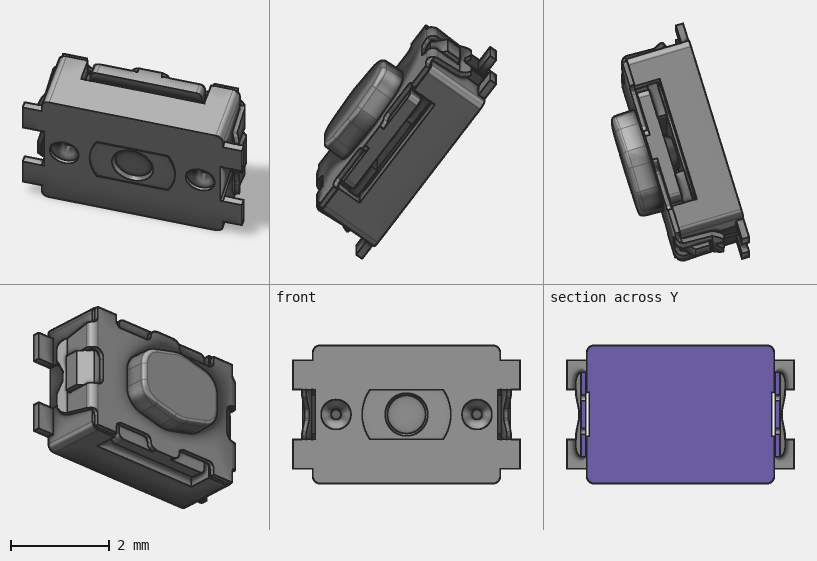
import cadquery as cq
import math


BODY_X = 3.8
BODY_Z = 2.8
BODY_TOP = 1.325
BODY_CORNER_R = 0.15

TERMINAL_SPAN = 4.6
TERMINAL_T = 0.15
TERMINAL_INNER_Z = 0.5
TERMINAL_OUTER_Z = 1.1

NOTCH_FLOOR_X = 1.85
NOTCH_TOP_HALF_Z = 0.39
CATCH_TIP_X = 2.1
CATCH_HALF_Z = 0.39
CATCH_BOTTOM = 0.76

SLOT_X = 2.585
SLOT_FLOOR = 0.8
LEDGE_HALF_Z = 1.105
CORE_HALF_Z = 1.01
CHANNEL_X = 1.205
DOME_TOP = 0.86
DOME_CORNER_R = 0.395

FLANGE_X = 2.335
FLANGE_Z = 2.732
FLANGE_BOTTOM = 1.065
FLANGE_CORNER_R = 0.125
BOSS_X = 0.505
NUB_TOP_R = 0.45
NUB_NECK_R = 0.41
NUB_NECK_Y = 1.02
NUB_BOTTOM_R = 0.315

BUTTON_TOP = 1.92
BUTTON_HALF_X = 1.045
BUTTON_HALF_Z = 0.795
BUTTON_END_R = 0.48
BUTTON_SIDE_R = 0.765
BUTTON_SIDE_TILT = 13.4
BUTTON_DRAFT = 2.0
BUTTON_EDGE_R = 0.095

SHEET_T = 0.1
COVER_TOP = BODY_TOP + SHEET_T
COVER_X = 3.68
COVER_HALF_Z = 1.352
RECESS_OUTER_X = 1.335
RECESS_OUTER_R = 0.14
RECESS_BOSS_R = 0.135

CLIP_OUTER_X = 2.015
CLIP_FOLD_Y = 0.7
CLIP_BEND_R = 0.165
CLIP_TOP_HALF_Z = 0.985
CLIP_FOLD_HALF_Z = 0.85
CLIP_ROOT_R = 0.143
WINDOW_BACK_X = 1.695
WINDOW_HALF_Z = 0.415
WINDOW_BACK_R = 0.185
RELIEF_R = 0.075
RELIEF_DROP = 0.05

FLAP_ANGLE = 26.6
FLAP_LENGTH = 0.235
MITRE = SHEET_T * math.tan(math.radians(FLAP_ANGLE / 2))
FLAP_CORNER_R = 0.23
VALLEY_DISTANCE = 0.095
VALLEY_HALF_Z = 0.09
VALLEY_MOUTH_HALF_Z = 0.385
VALLEY_MOUTH_R = 0.23
VALLEY_ROOT_R = 0.14

SINK_X = 1.425
SINK_R = 0.305
SINK_RIM_DEPTH = 0.085
SINK_FLOOR_R = 0.1
SINK_DEPTH = 0.315
SINK_BULGE = 0.03
MARK_R = 0.895
MARK_HALF_Z = 0.5
MARK_DEPTH = 0.0205
DIMPLE_R = 0.432
DIMPLE_FLOOR_R = 0.385
DIMPLE_DEPTH = 0.12

PAST = 0.045


def plan(y):
    """Workplane at height y with local axes X and Z; negative extrusion goes towards +Y."""
    return cq.Workplane("XZ", origin=(0, y, 0))


def block(x0, x1, y0, y1, z0, z1):
    return cq.Workplane("XY").box(x1 - x0, y1 - y0, z1 - z0, centered=False).translate((x0, y0, z0))


def centred_block(size_x, y0, y1, size_z):
    return block(-size_x / 2, size_x / 2, y0, y1, -size_z / 2, size_z / 2)


def at_both_ends(shape):
    """The +X shape together with its copy at the -X end."""
    return shape.union(shape.mirror("YZ"))


def frustum(x, y0, r0, y1, r1):
    """Cone frustum along Y at Z = 0."""
    profile = [(0, y0), (r0, y0), (r1, y1), (0, y1)]
    cone = cq.Workplane("XY").polyline(profile).close().revolve(360, (0, 0), (0, 1))
    return cone.translate((x, 0, 0))



def end_notch():
    """Notch between the terminals, narrowing towards the top."""
    outline = [
        (0, -TERMINAL_INNER_Z),
        (BODY_TOP, -NOTCH_TOP_HALF_Z),
        (BODY_TOP, NOTCH_TOP_HALF_Z),
        (0, TERMINAL_INNER_Z),
    ]
    return cq.Workplane("YZ", origin=(NOTCH_FLOOR_X, 0, 0)).polyline(outline).close().extrude(BODY_X)


def catch():
    """Catch with a 45-degree lead-in on its upper side."""
    reach = CATCH_TIP_X - NOTCH_FLOOR_X
    outline = [
        (NOTCH_FLOOR_X - PAST, CATCH_BOTTOM),
        (CATCH_TIP_X, CATCH_BOTTOM),
        (CATCH_TIP_X, BODY_TOP - reach),
        (NOTCH_FLOOR_X, BODY_TOP),
        (NOTCH_FLOOR_X - PAST, BODY_TOP),
    ]
    return cq.Workplane("XY").polyline(outline).close().extrude(CATCH_HALF_Z, both=True)


def body():
    """Body with the end catches and the inside left between the two long-side openings."""
    shell = centred_block(BODY_X, 0, BODY_TOP, BODY_Z).edges("|Y").fillet(BODY_CORNER_R)
    shell = shell.cut(at_both_ends(end_notch())).union(at_both_ends(catch()))

    shell = shell.cut(centred_block(SLOT_X, SLOT_FLOOR, BODY_TOP, BODY_Z))
    dome = centred_block(SLOT_X, SLOT_FLOOR, DOME_TOP, 2 * CORE_HALF_Z).edges("|Y").fillet(DOME_CORNER_R)
    core = centred_block(SLOT_X, FLANGE_BOTTOM, BODY_TOP, 2 * CORE_HALF_Z)
    ledge = centred_block(SLOT_X, DOME_TOP, FLANGE_BOTTOM, 2 * LEDGE_HALF_Z)
    channel = centred_block(CHANNEL_X, DOME_TOP, FLANGE_BOTTOM, BODY_Z)
    return shell.union(dome).union(core).union(ledge.cut(channel))


def terminals():
    """Two strips running through the body and standing out at both ends."""
    width = TERMINAL_OUTER_Z - TERMINAL_INNER_Z
    strip = centred_block(TERMINAL_SPAN, 0, TERMINAL_T, width)
    offset = (TERMINAL_INNER_Z + TERMINAL_OUTER_Z) / 2
    return strip.translate((0, 0, offset)).union(strip.translate((0, 0, -offset)))



def button():
    """Hexagonal button with rounded ends and softly rounded long sides."""
    tilt = math.radians(BUTTON_SIDE_TILT)
    half = math.radians(45 - BUTTON_SIDE_TILT / 2)
    end_x = BUTTON_HALF_X - BUTTON_END_R * (1 - math.sin(tilt))
    side_x = BUTTON_SIDE_R * math.sin(tilt)
    side_z = BUTTON_HALF_Z - BUTTON_SIDE_R * (1 - math.cos(tilt))
    end_z = side_z - (end_x - side_x) * math.tan(tilt)
    flat_z = end_z - BUTTON_END_R * math.cos(tilt)
    mid_x = BUTTON_HALF_X - BUTTON_END_R * (1 - math.cos(half))
    mid_z = flat_z + BUTTON_END_R * math.sin(half)
    outline = (
        plan(COVER_TOP)
        .moveTo(BUTTON_HALF_X, -flat_z)
        .lineTo(BUTTON_HALF_X, flat_z)
        .threePointArc((mid_x, mid_z), (end_x, end_z))
        .lineTo(side_x, side_z)
        .threePointArc((0, BUTTON_HALF_Z), (-side_x, side_z))
        .lineTo(-end_x, end_z)
        .threePointArc((-mid_x, mid_z), (-BUTTON_HALF_X, flat_z))
        .lineTo(-BUTTON_HALF_X, -flat_z)
        .threePointArc((-mid_x, -mid_z), (-end_x, -end_z))
        .lineTo(-side_x, -side_z)
        .threePointArc((0, -BUTTON_HALF_Z), (side_x, -side_z))
        .lineTo(end_x, -end_z)
        .threePointArc((mid_x, -mid_z), (BUTTON_HALF_X, -flat_z))
        .close()
    )
    cap = outline.extrude(COVER_TOP - BUTTON_TOP, taper=BUTTON_DRAFT)
    return cap.faces(">Y").edges().fillet(BUTTON_EDGE_R)


def plunger():
    """Flange carrying the button above and the nub below."""
    flange = centred_block(FLANGE_X, FLANGE_BOTTOM, BODY_TOP, FLANGE_Z)
    flange = flange.edges("|Y").fillet(FLANGE_CORNER_R)
    boss = centred_block(BOSS_X, FLANGE_BOTTOM, COVER_TOP, FLANGE_Z)
    nub = frustum(0, DOME_TOP, NUB_BOTTOM_R, NUB_NECK_Y, NUB_NECK_R)
    nub = nub.union(frustum(0, NUB_NECK_Y, NUB_NECK_R, FLANGE_BOTTOM, NUB_TOP_R))
    return flange.union(boss).union(nub).union(button())



def edge_recess():
    """Recess in the +Z edge of the cover at +X, rising again in an S-curve beside the boss."""
    half_boss = BOSS_X / 2
    floor_z = COVER_HALF_Z - 2 * RECESS_BOSS_R
    turn_x = half_boss + RECESS_BOSS_R
    turn_z = COVER_HALF_Z - RECESS_BOSS_R
    return (
        plan(BODY_TOP)
        .moveTo(half_boss, COVER_HALF_Z)
        .radiusArc((turn_x, turn_z), RECESS_BOSS_R)
        .radiusArc((turn_x + RECESS_BOSS_R, floor_z), -RECESS_BOSS_R)
        .lineTo(RECESS_OUTER_X - RECESS_OUTER_R, floor_z)
        .radiusArc((RECESS_OUTER_X, floor_z + RECESS_OUTER_R), -RECESS_OUTER_R)
        .lineTo(RECESS_OUTER_X, COVER_HALF_Z)
        .close()
        .extrude(-SHEET_T)
    )


def clip_arm():
    """Arm bent from the cover end, ending in a mitre where the flap is folded."""
    root_x = COVER_X / 2
    inner_x = CLIP_OUTER_X - SHEET_T
    inner_r = CLIP_BEND_R - SHEET_T
    section = (
        cq.Workplane("XY")
        .moveTo(root_x, COVER_TOP)
        .lineTo(CLIP_OUTER_X - CLIP_BEND_R, COVER_TOP)
        .radiusArc((CLIP_OUTER_X, COVER_TOP - CLIP_BEND_R), CLIP_BEND_R)
        .lineTo(CLIP_OUTER_X, CLIP_FOLD_Y)
        .lineTo(inner_x, CLIP_FOLD_Y - MITRE)
        .lineTo(inner_x, BODY_TOP - inner_r)
        .radiusArc((inner_x - inner_r, BODY_TOP), -inner_r)
        .lineTo(root_x, BODY_TOP)
        .close()
    )
    strip = section.extrude(COVER_HALF_Z, both=True)

    root_half_z = CLIP_TOP_HALF_Z + CLIP_ROOT_R
    side_outline = [
        (CLIP_FOLD_Y - MITRE, CLIP_FOLD_HALF_Z),
        (CLIP_FOLD_Y, CLIP_FOLD_HALF_Z),
        (BODY_TOP, CLIP_TOP_HALF_Z),
        (BODY_TOP, root_half_z),
        (COVER_TOP, root_half_z),
    ]
    side_outline += [(y, -z) for y, z in reversed(side_outline)]
    tapered = cq.Workplane("YZ").polyline(side_outline).close().extrude(CLIP_OUTER_X + PAST)

    throat_x = root_x + CLIP_ROOT_R
    flared = (
        plan(0)
        .moveTo(root_x, -root_half_z)
        .lineTo(root_x, root_half_z)
        .radiusArc((throat_x, CLIP_TOP_HALF_Z), -CLIP_ROOT_R)
        .lineTo(CLIP_OUTER_X + PAST, CLIP_TOP_HALF_Z)
        .lineTo(CLIP_OUTER_X + PAST, -CLIP_TOP_HALF_Z)
        .lineTo(throat_x, -CLIP_TOP_HALF_Z)
        .radiusArc((root_x, -root_half_z), -CLIP_ROOT_R)
        .close()
        .extrude(-COVER_TOP)
    )
    return strip.intersect(tapered).intersect(flared)


def clip_flap():
    """Flared clip tip with rounded corners and a V-shaped valley in its free edge."""
    outline = [
        (-MITRE, CLIP_FOLD_HALF_Z),
        (FLAP_LENGTH, CLIP_FOLD_HALF_Z),
        (FLAP_LENGTH, VALLEY_MOUTH_HALF_Z),
        (VALLEY_DISTANCE, VALLEY_HALF_Z),
    ]
    outline += [(s, -z) for s, z in reversed(outline)]
    tilt = math.radians(FLAP_ANGLE)
    flap_plane = cq.Plane(
        origin=(CLIP_OUTER_X, CLIP_FOLD_Y, 0),
        xDir=(math.sin(tilt), -math.cos(tilt), 0),
        normal=(-math.cos(tilt), -math.sin(tilt), 0),
    )
    flap = cq.Workplane("XY").polyline(outline).close().extrude(SHEET_T)
    corner_radii = {
        CLIP_FOLD_HALF_Z: FLAP_CORNER_R,
        VALLEY_MOUTH_HALF_Z: VALLEY_MOUTH_R,
        VALLEY_HALF_Z: VALLEY_ROOT_R,
    }
    for half_z, radius in corner_radii.items():
        def is_corner(edge):
            centre = edge.Center()
            return centre.x > 0 and math.isclose(abs(centre.y), half_z)

        flap = flap.edges("|Z").filter(is_corner).fillet(radius)
    return cq.Workplane(flap.val().moved(cq.Location(flap_plane)))


def clip_window():
    """Window around the catch, with round reliefs in its lower corners."""
    window = block(
        WINDOW_BACK_X, CLIP_OUTER_X + PAST, CATCH_BOTTOM, COVER_TOP, -WINDOW_HALF_Z, WINDOW_HALF_Z
    )
    window = window.edges("|Y and <X").fillet(WINDOW_BACK_R)
    relief_z = WINDOW_HALF_Z - RELIEF_R
    reliefs = (
        cq.Workplane("YZ", origin=(WINDOW_BACK_X + WINDOW_BACK_R, 0, 0))
        .pushPoints([(CATCH_BOTTOM - RELIEF_DROP + RELIEF_R, z) for z in (-relief_z, relief_z)])
        .circle(RELIEF_R)
        .extrude(CLIP_OUTER_X + PAST - WINDOW_BACK_X - WINDOW_BACK_R)
    )
    return window.union(reliefs)


def cover():
    """Flat plate with recessed long edges and a clip at each end."""
    plate = centred_block(COVER_X, BODY_TOP, COVER_TOP, 2 * COVER_HALF_Z)
    recesses = at_both_ends(edge_recess())
    plate = plate.cut(recesses).cut(recesses.mirror("XY"))
    gap = centred_block(BOSS_X, BODY_TOP, COVER_TOP, 2 * RECESS_BOSS_R)
    gap_z = COVER_HALF_Z - RECESS_BOSS_R
    for z in (-gap_z, gap_z):
        plate = plate.cut(gap.translate((0, 0, z)))
    plate = plate.union(at_both_ends(clip_arm().union(clip_flap())))
    return plate.cut(at_both_ends(clip_window()))



def sink(x):
    """Round recess with a straight rim and a trumpet-shaped wall that steepens towards its floor."""
    width = SINK_R - SINK_FLOOR_R
    drop = SINK_DEPTH - SINK_RIM_DEPTH
    chord = math.hypot(width, drop)
    mid_r = (SINK_R + SINK_FLOOR_R) / 2 - SINK_BULGE * drop / chord
    mid_y = (SINK_RIM_DEPTH + SINK_DEPTH) / 2 - SINK_BULGE * width / chord
    profile = (
        cq.Workplane("XY")
        .lineTo(SINK_R, 0)
        .lineTo(SINK_R, SINK_RIM_DEPTH)
        .threePointArc((mid_r, mid_y), (SINK_FLOOR_R, SINK_DEPTH))
        .lineTo(0, SINK_DEPTH)
        .close()
    )
    return profile.revolve(360, (0, 0), (0, 1)).translate((x, 0, 0))


def mark_recess():
    """Shallow round recess with two flats and a tapered dimple in its middle."""
    disc = plan(0).circle(MARK_R).extrude(-MARK_DEPTH)
    flats = centred_block(2 * MARK_R, 0, MARK_DEPTH, 2 * MARK_HALF_Z)
    dimple = frustum(0, MARK_DEPTH, DIMPLE_R, DIMPLE_DEPTH, DIMPLE_FLOOR_R)
    return disc.intersect(flats).union(dimple)


base = body().union(terminals())
base = base.cut(mark_recess()).cut(sink(-SINK_X)).cut(sink(SINK_X))
result = base.union(plunger()).union(cover())